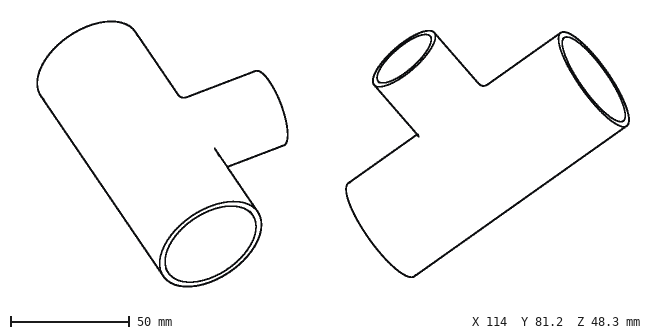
import cadquery as cq

run_length = 114.0
run_outer_diameter = 48.3
run_bore_diameter = 43.1

branch_outer_diameter = 33.7
branch_bore_diameter = 29.1
branch_reach = run_length / 2

neck_fillet_radius = 3.0


def run_cylinder(diameter):
    """Full-length cylinder along X, centred on the origin."""
    return cq.Workplane("YZ").circle(diameter / 2).extrude(run_length / 2, both=True)


def branch_cylinder(diameter):
    """Cylinder from the run axis out to the branch end along +Y."""
    return cq.Workplane("XZ").circle(diameter / 2).extrude(-branch_reach)


def outer_body():
    """Run and branch joined, with a rounded neck where they meet."""
    body = run_cylinder(run_outer_diameter).union(branch_cylinder(branch_outer_diameter))
    neck_box = cq.selectors.BoxSelector(
        (-branch_outer_diameter, 0, -branch_outer_diameter),
        (branch_outer_diameter, run_outer_diameter / 2 + neck_fillet_radius, branch_outer_diameter),
        boundingbox=True,
    )
    return body.edges(neck_box).fillet(neck_fillet_radius)


def bores():
    """Through bore of the run, met by the bore of the branch."""
    return run_cylinder(run_bore_diameter).union(branch_cylinder(branch_bore_diameter))


result = outer_body().cut(bores())